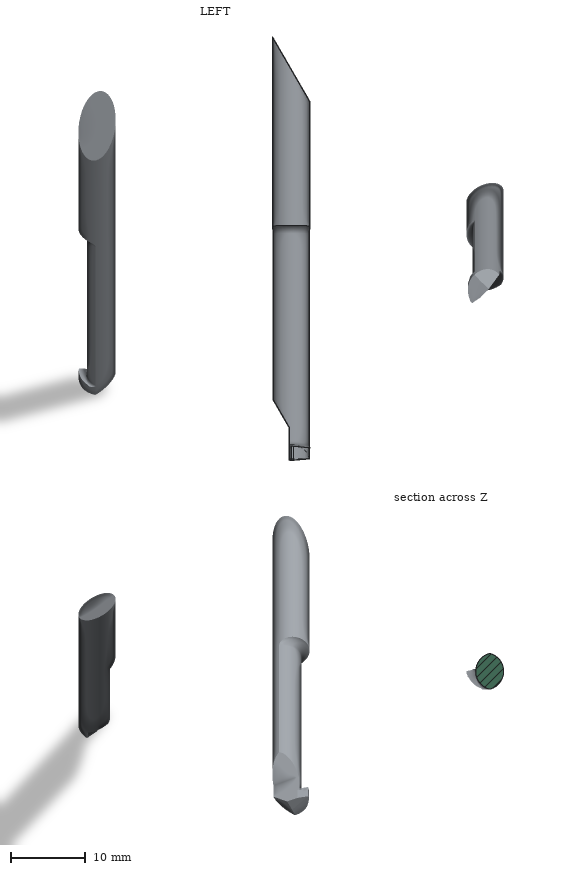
import cadquery as cq
import math

length = 56.6
radius = 2.5
diameter = 2 * radius
bevel_angle = 60.0
bevel_rise = diameter * math.tan(math.radians(bevel_angle))

neck_offset = 1.2
neck_edge_x = neck_offset / 2
neck_edge_y = math.sqrt(radius**2 - neck_edge_x**2)
neck_top = 31.4
neck_bottom = 1.7
shoulder_radius = 1.0
foot_radius = 0.4

face_y = 0.3
face_top = 4.4
end_chamfer = 2.15
end_relief = 0.1

head_height = 1.9
clearance_angle = 5.0
land_width = 0.3
rake_end_x = -1.15
flank_corner = (-1.35, -1.85)
flank_middle = (-2.05, -1.15)
heel_middle = (-0.45, -2.3)

outside = 3 * diameter


def make_neck_groove():
    """Ring around the neck axis, rounded where it meets the shoulder and the foot."""
    groove = (
        cq.Workplane("XZ")
        .moveTo(radius + shoulder_radius, neck_top)
        .lineTo(outside, neck_top)
        .lineTo(outside, neck_bottom)
        .lineTo(radius + foot_radius, neck_bottom)
        .radiusArc((radius, neck_bottom + foot_radius), foot_radius)
        .lineTo(radius, neck_top - shoulder_radius)
        .radiusArc((radius + shoulder_radius, neck_top), shoulder_radius)
        .close()
        .revolve(360, (0, 0, 0), (0, 1, 0))
        .translate((neck_offset, 0, 0))
    )
    left_side = cq.Workplane("XY").box(
        outside, outside, length, centered=(False, True, False)
    ).translate((neck_edge_x - outside, 0, 0))
    return groove.intersect(left_side)


def make_end_cut():
    """Material below the slightly rising end face and its 45 degree chamfer on the +X side."""
    chamfer_start = (radius - end_chamfer + end_relief, end_relief)
    return (
        cq.Workplane("XZ")
        .polyline([(radius, end_chamfer), chamfer_start, (-radius, 0), (radius, 0)])
        .close()
        .extrude(radius, both=True)
    )


def make_shank(head):
    face_rise = (radius - face_y) * math.tan(math.radians(bevel_angle))
    side_outline = [
        (-radius, 0),
        (face_y, 0),
        (face_y, face_top),
        (radius, face_top + face_rise),
        (radius, length),
        (-radius, length - bevel_rise),
    ]
    side_profile = cq.Workplane("YZ").polyline(side_outline).close().extrude(radius, both=True)
    bar = cq.Workplane("XY").circle(radius).extrude(length).intersect(side_profile)
    head_seat = cq.Workplane("XY").box(
        outside, outside, neck_bottom, centered=(False, True, False)
    ).translate((neck_edge_x - outside, 0, 0))
    return bar.cut(make_neck_groove()).cut(head_seat).cut(make_end_cut()).cut(head)


def make_head():
    plan = (
        cq.Workplane("XY")
        .moveTo(neck_edge_x, face_y)
        .lineTo(rake_end_x, face_y)
        .lineTo(-radius, 0)
        .lineTo(-radius, -land_width)
        .threePointArc(flank_middle, flank_corner)
        .threePointArc(heel_middle, (neck_edge_x, -neck_edge_y))
        .close()
        .extrude(head_height)
    )
    clearance = radius * math.tan(math.radians(clearance_angle))
    side_outline = [
        (face_y, 0),
        (0, 0),
        (-radius, clearance),
        (-radius, head_height - clearance),
        (0, head_height),
        (face_y, head_height),
    ]
    side_profile = cq.Workplane("YZ").polyline(side_outline).close().extrude(radius, both=True)
    return plan.intersect(side_profile).cut(make_end_cut())


head = make_head()
shank = make_shank(head)

result = cq.Compound.makeCompound([shank.val(), head.val()])